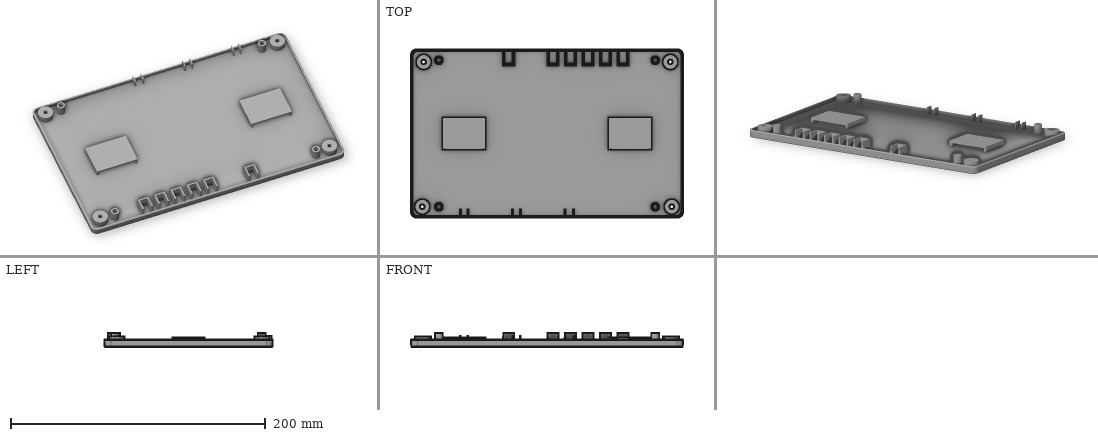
import cadquery as cq
import math

LENGTH = 213.96
WIDTH = 132.57
RIM_HEIGHT = 6.0
TOTAL_HEIGHT = 11.08
FLOOR = 3.0
WALL = 1.6
CORNER_RADIUS = 5.0
RIM_CHAMFER = 0.5

DRAFT = 2.0

BOSS_DIAMETER = 12.0
BOSS_HEIGHT = 8.3
SCREW_DIAMETER = 3.5
REAR_BOSS_X = 96.9
REAR_BOSS_Y = 56.2
FRONT_BOSS_X = 98.0
FRONT_BOSS_Y = -57.5

POST_DIAMETER = 6.4
POST_BORE = 4.0
POST_X = 85.0
POST_Y = 57.6

BRIDGE_LENGTH = 34.4
BRIDGE_WIDTH = 25.5
BRIDGE_TOP = 7.6
BRIDGE_THICKNESS = 1.5
BRIDGE_LEG = 2.0
BRIDGE_X = 65.2

POCKET_WIDTH = 9.27
POCKET_WALL = 1.7
POCKET_FRONT_Y = 53.35
POCKET_REAR_Y = 63.6
POCKET_PITCH = 13.75
POCKET_ROW_START = 4.7
POCKET_ROW_COUNT = 5
LONE_POCKET_X = -30.1

RIB_THICKNESS = 1.2
RIB_HEIGHT = 9.0
RIB_REAR_Y = -59.6
RIB_PAIRS = [(-68.1, -62.2), (-27.0, -21.0), (14.2, 21.0)]


def upright_box(x_size, y_size, z_bottom, z_top, x, y):
    """Box centred on (x, y) between two heights."""
    box = cq.Workplane("XY").box(x_size, y_size, z_top - z_bottom, centered=(True, True, False))
    return box.translate((x, y, z_bottom))


def upright_cylinder(diameter, z_bottom, z_top, x, y):
    """Cylinder centred on (x, y) between two heights."""
    return cq.Workplane("XY", origin=(x, y, z_bottom)).circle(diameter / 2).extrude(z_top - z_bottom)


def drafted_box(x_size, y_size, z_top, x, y, draft):
    """Box on the tray floor, sized at its base; a positive draft narrows it upwards."""
    outline = cq.Workplane("XY", origin=(x, y, FLOOR)).rect(x_size, y_size)
    return outline.extrude(z_top - FLOOR, taper=draft)


def rounded_plan(x_size, y_size, corner_radius):
    """Rectangle with rounded corners, centred on the tray."""
    return cq.Sketch().rect(x_size, y_size).vertices().fillet(corner_radius)


def tray():
    """Open tray whose outer and inner walls both widen towards the rim."""
    inset = (RIM_HEIGHT - RIM_CHAMFER) * math.tan(math.radians(DRAFT))
    base_plan = rounded_plan(LENGTH - 2 * inset, WIDTH - 2 * inset, CORNER_RADIUS - inset)
    shell = cq.Workplane("XY").placeSketch(base_plan).extrude(RIM_HEIGHT, taper=-DRAFT)
    shell = shell.faces("<Z").edges().chamfer(RIM_CHAMFER)
    shell = shell.faces(">Z").edges().chamfer(RIM_CHAMFER)
    floor_plan = rounded_plan(LENGTH - 2 * WALL, WIDTH - 2 * WALL, CORNER_RADIUS - WALL)
    cavity = cq.Workplane("XY", origin=(0, 0, FLOOR)).placeSketch(floor_plan)
    return shell.cut(cavity.extrude(RIM_HEIGHT - FLOOR, taper=-DRAFT))


def bridge(x):
    """Flat plate on two end legs, open underneath along Y."""
    body = upright_box(BRIDGE_LENGTH, BRIDGE_WIDTH, FLOOR, BRIDGE_TOP, x, 0)
    opening_length = BRIDGE_LENGTH - 2 * BRIDGE_LEG
    return body.cut(upright_box(opening_length, BRIDGE_WIDTH, FLOOR, BRIDGE_TOP - BRIDGE_THICKNESS, x, 0))


def pocket(x):
    """U-shaped wall: the front half of a drafted ring, cut off flat at the rear."""
    depth = 2 * (POCKET_REAR_Y - POCKET_FRONT_Y)
    slot_width = POCKET_WIDTH - 2 * POCKET_WALL
    slot_depth = depth - 2 * POCKET_WALL
    body = drafted_box(POCKET_WIDTH, depth, TOTAL_HEIGHT, x, POCKET_REAR_Y, DRAFT)
    slot = drafted_box(slot_width, slot_depth, TOTAL_HEIGHT, x, POCKET_REAR_Y, -DRAFT)
    rear_half = upright_box(POCKET_WIDTH, depth, FLOOR, TOTAL_HEIGHT, x, POCKET_REAR_Y + depth / 2)
    return body.cut(slot).cut(rear_half)


def rib(x):
    """Thin drafted rib reaching from inside the front wall into the tray."""
    wall_y = WALL / 2 - WIDTH / 2
    length = 2 * (RIB_REAR_Y - wall_y)
    body = drafted_box(RIB_THICKNESS, length, RIB_HEIGHT, x, wall_y, DRAFT)
    front_half = upright_box(RIB_THICKNESS, length, FLOOR, RIB_HEIGHT, x, wall_y - length / 2)
    return body.cut(front_half)


result = tray()

for side in (-1, 1):
    result = result.union(bridge(side * BRIDGE_X))
    for x, y in ((REAR_BOSS_X, REAR_BOSS_Y), (FRONT_BOSS_X, FRONT_BOSS_Y)):
        result = result.union(upright_cylinder(BOSS_DIAMETER, FLOOR, BOSS_HEIGHT, side * x, y))
        result = result.cut(upright_cylinder(SCREW_DIAMETER, 0, BOSS_HEIGHT, side * x, y))
    for y in (-POST_Y, POST_Y):
        result = result.union(upright_cylinder(POST_DIAMETER, FLOOR, TOTAL_HEIGHT, side * POST_X, y))
        result = result.cut(upright_cylinder(POST_BORE, FLOOR, TOTAL_HEIGHT, side * POST_X, y))

pocket_row = [POCKET_ROW_START + i * POCKET_PITCH for i in range(POCKET_ROW_COUNT)]
for x in [LONE_POCKET_X] + pocket_row:
    result = result.union(pocket(x))

for pair in RIB_PAIRS:
    for x in pair:
        result = result.union(rib(x))